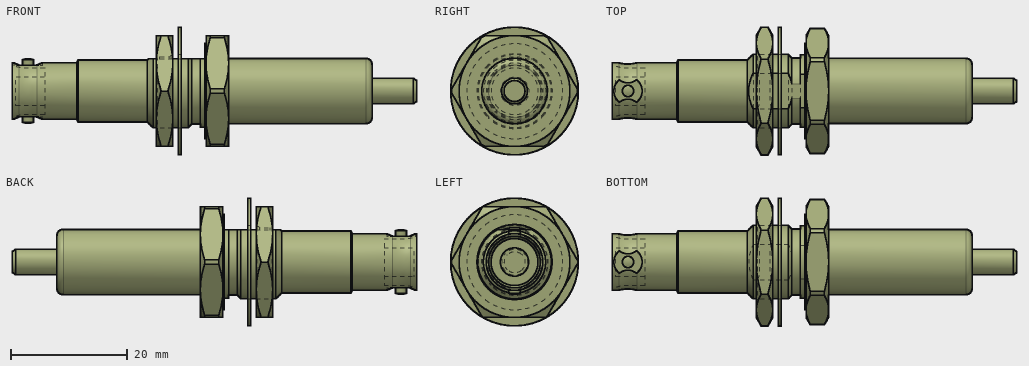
import cadquery as cq
import math


sleeve_radius = 4.85
sleeve_end = 11.05
groove_start = 1.1
groove_end = 4.25
groove_depth = 0.2
socket_mouth_radius = 4.45
socket_radius = 4.0
socket_taper_depth = 1.6
socket_depth = 5.55

stud_x = 2.7
stud_radius = 1.0
stud_height = 5.55
stud_dome_rise = 0.2
seat_radius = 2.4
seat_height = 4.45

insert_radius = 2.4
insert_front = 0.5

barrel_radius = 5.35
barrel_start = 11.3

thread_radius = 6.3
thread_start = 23.2
thread_end = 30.2
thread_lead_in = 1.0
relief_radius = 5.7
relief_start = 30.85
collar_radius = 6.25
collar_start = 32.3
flat_height = 5.55

hex_flat_distance = 9.5
hex_corner_distance = hex_flat_distance / math.cos(math.pi / 6)
hex_chamfer_angle = math.radians(30)
body_hex_start = 33.3
body_hex_end = 37.2
body_hex_corner_radius = 10.8
hex_boss_radius = 8.2
hex_boss_thickness = 0.2
nut_start = 24.75
nut_end = 27.6
nut_bore_radius = 5.9
nut_countersink_radius = 6.45

washer_radius = hex_corner_distance
washer_start = 28.5
washer_thickness = 0.55

tube_radius = 5.6
tube_end = 61.85
tube_end_rounding = 1.1
stub_radius = 2.2
stub_end = 69.5
stub_chamfer_length = 0.6
stub_chamfer_depth = 0.4


def cylinder(radius, start, end):
    """Solid cylinder around the X axis from x = start to x = end."""
    return cq.Workplane("YZ", origin=(start, 0, 0)).circle(radius).extrude(end - start)


def revolved(profile):
    """Solid of revolution around X of a closed profile drawn as (x, radius)."""
    return profile.close().revolve(360, (0, 0, 0), (1, 0, 0))


def chamfered_hexagon(start, end, corner_radius):
    """Hexagon with flats at the top and bottom, its corners turned conical at both faces."""
    cone_length = (corner_radius - hex_flat_distance) * math.tan(hex_chamfer_angle)
    hexagon = (
        cq.Workplane("YZ", origin=(start, 0, 0))
        .polygon(6, 2 * hex_corner_distance)
        .extrude(end - start)
    )
    turned_blank = revolved(
        cq.Workplane("XY")
        .moveTo(start, 0)
        .lineTo(start, hex_flat_distance)
        .lineTo(start + cone_length, corner_radius)
        .lineTo(end - cone_length, corner_radius)
        .lineTo(end, hex_flat_distance)
        .lineTo(end, 0)
    )
    return hexagon.intersect(turned_blank)


def make_front_turning():
    """Sleeve, barrel, thread, relief and collar, turned in one profile."""
    return revolved(
        cq.Workplane("XY")
        .lineTo(0, sleeve_radius)
        .lineTo(groove_start, sleeve_radius)
        .threePointArc(
            ((groove_start + groove_end) / 2, sleeve_radius - groove_depth),
            (groove_end, sleeve_radius),
        )
        .lineTo(sleeve_end, sleeve_radius)
        .lineTo(barrel_start, barrel_radius)
        .lineTo(thread_start, barrel_radius)
        .lineTo(thread_start + thread_lead_in, thread_radius)
        .lineTo(thread_end, thread_radius)
        .lineTo(relief_start, relief_radius)
        .lineTo(collar_start, relief_radius)
        .lineTo(collar_start, collar_radius)
        .lineTo(body_hex_start, collar_radius)
        .lineTo(body_hex_start, 0)
    )


def cut_thread_flat(turning):
    """Mill the anti-rotation flat along the top of the thread, relief and collar."""
    length = body_hex_start - thread_start
    cutter = cq.Workplane("XY").box(
        length, 2 * thread_radius, thread_radius, centered=(False, True, False)
    )
    return turning.cut(cutter.translate((thread_start, 0, flat_height)))


def make_seat_cutter():
    """Round cutter that mills the flat seat around the top stud."""
    return (
        cq.Workplane("XY", origin=(stud_x, 0, seat_height))
        .circle(seat_radius)
        .extrude(sleeve_radius - seat_height)
    )


def make_stud():
    """Top bayonet stud with a domed end, rooted in the sleeve wall."""
    root_height = (socket_mouth_radius + socket_radius) / 2
    edge_height = stud_height - stud_dome_rise
    dome_radius = (stud_radius**2 + stud_dome_rise**2) / (2 * stud_dome_rise)
    half_angle = math.asin(stud_radius / dome_radius) / 2
    dome_middle = (
        dome_radius * math.sin(half_angle),
        stud_height - dome_radius * (1 - math.cos(half_angle)),
    )
    return (
        cq.Workplane("XZ", origin=(stud_x, 0, 0))
        .moveTo(0, root_height)
        .lineTo(stud_radius, root_height)
        .lineTo(stud_radius, edge_height)
        .threePointArc(dome_middle, (0, stud_height))
        .close()
        .revolve(360, (0, 0, 0), (0, 1, 0))
    )


def make_socket_cutter():
    """Socket with a tapered mouth and a flat floor."""
    return revolved(
        cq.Workplane("XY")
        .lineTo(0, socket_mouth_radius)
        .lineTo(socket_taper_depth, socket_radius)
        .lineTo(socket_depth, socket_radius)
        .lineTo(socket_depth, 0)
    )


def make_rear():
    """Rounded rear tube with the chamfered cable stub."""
    tube = cylinder(tube_radius, body_hex_end, tube_end).faces(">X").edges().fillet(tube_end_rounding)
    stub = revolved(
        cq.Workplane("XY")
        .moveTo(tube_end, 0)
        .lineTo(tube_end, stub_radius)
        .lineTo(stub_end - stub_chamfer_length, stub_radius)
        .lineTo(stub_end, stub_radius - stub_chamfer_depth)
        .lineTo(stub_end, 0)
    )
    return tube.union(stub)


def make_body():
    body = cut_thread_flat(make_front_turning())
    for turn in (0, 180):
        body = body.cut(make_seat_cutter().rotate((0, 0, 0), (1, 0, 0), turn))
        body = body.union(make_stud().rotate((0, 0, 0), (1, 0, 0), turn))
    body = body.cut(make_socket_cutter())
    boss = cylinder(hex_boss_radius, body_hex_start - hex_boss_thickness, body_hex_start)
    hexagon = chamfered_hexagon(body_hex_start, body_hex_end, body_hex_corner_radius)
    return body.union(boss).union(hexagon).union(make_rear())


def make_nut(body):
    """Hexagon nut with countersunk bore, its thread matching the flatted thread of the body."""
    countersink_depth = nut_countersink_radius - nut_bore_radius
    bore = revolved(
        cq.Workplane("XY")
        .moveTo(nut_start, 0)
        .lineTo(nut_start, nut_countersink_radius)
        .lineTo(nut_start + countersink_depth, nut_bore_radius)
        .lineTo(nut_end - countersink_depth, nut_bore_radius)
        .lineTo(nut_end, nut_countersink_radius)
        .lineTo(nut_end, 0)
    )
    nut = chamfered_hexagon(nut_start, nut_end, hex_corner_distance)
    return nut.cut(bore).cut(body)


def make_washer():
    """Flat ring around the thread."""
    washer_end = washer_start + washer_thickness
    ring = cylinder(washer_radius, washer_start, washer_end)
    return ring.cut(cylinder(thread_radius, washer_start, washer_end))


def make_insert():
    """Contact insert standing on the socket floor."""
    return cylinder(insert_radius, insert_front, socket_depth)


body = make_body()
nut = make_nut(body)
washer = make_washer()
insert = make_insert()

result = cq.Compound.makeCompound([body.val(), nut.val(), washer.val(), insert.val()])